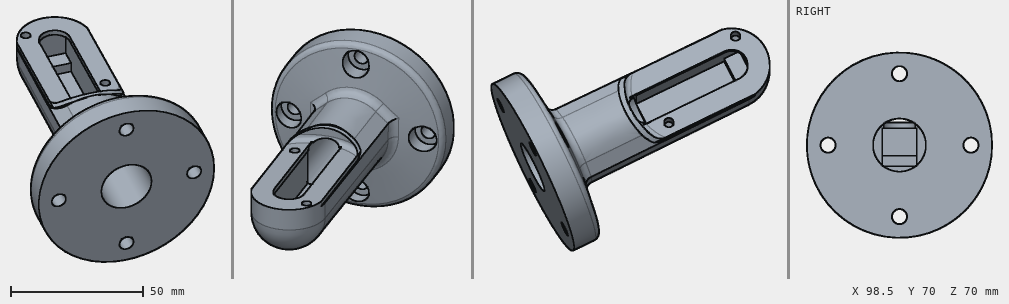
import cadquery as cq
import math

flange_radius = 35.02
rim_thickness = 11.1
hub_thickness = 17.1
rim_fillet = 2.5
bore_radius = 10.0
bore_depth = 47.0

bolt_circle_radius = 27.0
bolt_hole_diameter = 5.6
counterbore_diameter = 10.6
counterbore_floor = 6.4
bolt_count = 4

overall_length = 98.5
nose_radius = 14.4
nose_center_x = nose_radius - overall_length
arm_draft = 0.4
arm_root_x = -8.9
root_radius = nose_radius + (arm_root_x - nose_center_x) * math.tan(math.radians(arm_draft))
shoulder_angle = 48.4
root_fillet = 3.4

shoulder_ratio = math.tan(math.radians(shoulder_angle / 2))
core_base_z = nose_radius * shoulder_ratio
deck_z = 8.6
core_half_width = 14.1
core_top_z = 14.2
seat_center_x = -66.3
seat_radius = 24.6
core_end_radius = 27.0
seat_fillet = 2.4
core_end_fillet = 5.1

slot_half_width = 6.0
slot_end_x = nose_center_x
slot_open_x = seat_center_x + seat_radius - seat_fillet
pocket_half_width = 6.5
pocket_floor_z = -8.0
nose_floor_z = -3.9

screw_diameter = 3.6
screw_depth = 5.9
drill_point_angle = 118.0
screw_places = [(-90.4, -9.5), (-52.8, 9.5)]

clearance = 9.85


def box(x_range, y_half, z_range):
    """Block centred on Y = 0."""
    length = x_range[1] - x_range[0]
    height = z_range[1] - z_range[0]
    block = cq.Workplane("XY").box(length, 2 * y_half, height, centered=False)
    return block.translate((x_range[0], -y_half, z_range[0]))


def upright(radius, center_x, z_range, center_y=0.0):
    """Vertical cylinder."""
    return (
        cq.Workplane("XY", origin=(center_x, center_y, z_range[0]))
        .circle(radius)
        .extrude(z_range[1] - z_range[0])
    )


def make_flange():
    """Disc with a shallow cone on its front and a rounded rim."""
    disc = (
        cq.Workplane("XY")
        .polyline([(0, 0), (0, flange_radius), (-rim_thickness, flange_radius), (-hub_thickness, 0)])
        .close()
        .revolve(360, (0, 0, 0), (1, 0, 0))
    )
    rim_point = (-rim_thickness, 0, flange_radius)
    return disc.edges(cq.NearestToPointSelector(rim_point)).fillet(rim_fillet)


def arm_outline(workplane, radius):
    """Round section whose upper sides run straight up to sloped shoulders."""
    angle = math.radians(shoulder_angle)
    top_y = radius * math.cos(angle)
    top_z = radius * math.sin(angle)
    corner_z = radius * shoulder_ratio
    return (
        workplane.moveTo(radius, 0)
        .lineTo(radius, corner_z)
        .lineTo(top_y, top_z)
        .threePointArc((0, radius), (-top_y, top_z))
        .lineTo(-radius, corner_z)
        .lineTo(-radius, 0)
        .threePointArc((0, -radius), (radius, 0))
        .close()
    )


def make_arm():
    """Drafted arm from the nose centre into the flange."""
    nose_end = arm_outline(cq.Workplane("YZ", origin=(nose_center_x, 0, 0)), nose_radius)
    root_plane = nose_end.workplane(offset=arm_root_x - nose_center_x)
    return arm_outline(root_plane, root_radius).loft(ruled=True)


def make_nose():
    """Upright cylinder ending below in a half ball."""
    ball = cq.Workplane("XY").sphere(nose_radius).translate((nose_center_x, 0, 0))
    lower_half = box((-overall_length, 0), nose_radius, (-nose_radius, 0))
    return ball.intersect(lower_half).union(upright(nose_radius, nose_center_x, (0, core_base_z)))


def seat_prism(end_radius, base_z):
    """Upright prism over the deck with a round end towards the flange."""
    height = (base_z, root_radius + clearance)
    back = box((-overall_length - clearance, seat_center_x), end_radius, height)
    return back.union(upright(end_radius, seat_center_x, height))


def seat_space(end_radius, base_z, foot_fillet):
    """Seat prism with a rounded foot along its end wall."""
    return seat_prism(end_radius, base_z).faces("<Z").edges().fillet(foot_fillet)


def make_core():
    """Block with straight sides and an arched top, rounded to follow the nose."""
    block = (
        cq.Workplane("YZ", origin=(-overall_length, 0, 0))
        .moveTo(-core_half_width, core_base_z)
        .lineTo(-core_half_width, deck_z)
        .threePointArc((0, core_top_z), (core_half_width, deck_z))
        .lineTo(core_half_width, core_base_z)
        .close()
        .extrude(overall_length)
    )
    height = (core_base_z, core_top_z + clearance)
    plan = box((nose_center_x, 0), nose_radius, height).union(
        upright(nose_radius, nose_center_x, height)
    )
    return block.intersect(plan).intersect(
        seat_space(core_end_radius, core_base_z, core_end_fillet)
    )


def make_cavity():
    """Bore from the back, slot in the deck and the pocket that joins them."""
    bore = cq.Workplane("YZ", origin=(-bore_depth, 0, 0)).circle(bore_radius).extrude(bore_depth)
    slot_height = (nose_floor_z, deck_z)
    slot = box((slot_end_x, slot_open_x), slot_half_width, slot_height).union(
        upright(slot_half_width, slot_end_x, slot_height)
    )
    deep_pocket = box(
        (slot_end_x, -bore_depth), pocket_half_width, (pocket_floor_z, core_base_z)
    )
    nose_pocket = box(
        (slot_end_x - pocket_half_width, slot_end_x), pocket_half_width, (nose_floor_z, core_base_z)
    )
    return bore.union(slot).union(deep_pocket).union(nose_pocket)


def bolt_cylinders(diameter, start_x):
    """Ring of cylinders running from start_x out through the front of the flange."""
    return (
        cq.Workplane("YZ", origin=(start_x, 0, 0))
        .polarArray(bolt_circle_radius, 0, 360, bolt_count)
        .circle(diameter / 2)
        .extrude(-hub_thickness)
    )


def make_screw_hole(screw_x, screw_y):
    """Blind hole in the deck with a drill point."""
    radius = screw_diameter / 2
    point_depth = radius / math.tan(math.radians(drill_point_angle / 2))
    return (
        cq.Workplane("XZ")
        .polyline([(0, 0), (radius, 0), (radius, -screw_depth), (0, -screw_depth - point_depth)])
        .close()
        .revolve(360, (0, 0, 0), (0, 1, 0))
        .translate((screw_x, screw_y, deck_z))
    )


def root_edges(body):
    """Edges where the arm meets the flange cone."""
    reach = root_radius + 2 * root_fillet
    middle_of_cone = -(hub_thickness + rim_thickness) / 2
    return body.edges(
        cq.selectors.BoxSelector((-hub_thickness, -reach, -reach), (middle_of_cone, reach, reach))
    )


body = make_flange().union(make_arm())
body = root_edges(body).fillet(root_fillet)
body = body.union(make_nose())
body = body.cut(seat_space(core_end_radius, core_base_z, core_end_fillet))
body = body.union(make_core())
body = body.cut(seat_space(seat_radius, deck_z, seat_fillet))
body = body.cut(make_cavity())
body = body.cut(bolt_cylinders(bolt_hole_diameter, 0))
body = body.cut(bolt_cylinders(counterbore_diameter, -counterbore_floor))
for screw_x, screw_y in screw_places:
    body = body.cut(make_screw_hole(screw_x, screw_y))

result = body